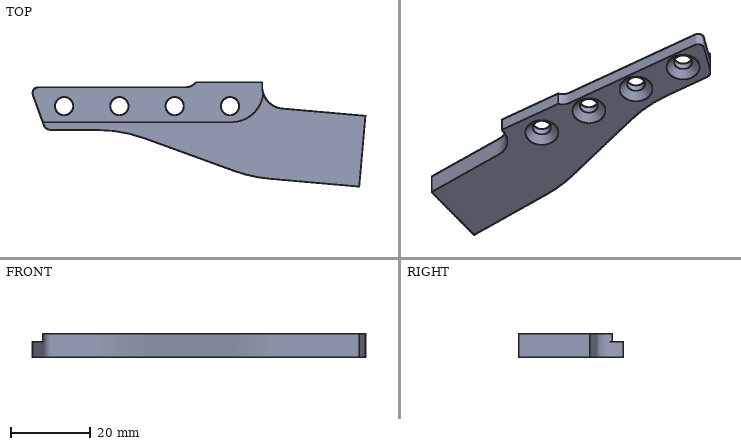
import cadquery as cq
import math

length = 84.1
width = 26.4
thickness = 6.0

nose_slant = math.radians(20)
flank_slope = math.radians(20)
blade_tilt = math.radians(5)

back_step = 1.3
step_radius = 3.4
step_end_x = 41.3
shoulder_x = 58.0
shoulder_radius = 5.5
blade_end_width = 18.0
narrow_front_y = -12.1
bend_x = 22.5
bend_radius = 35.0
nose_back_radius = 1.5
nose_front_radius = 2.0

recess_depth = 2.0
recess_front_y = -10.1
recess_radius = 8.0
recess_end_x = 58.3

hole_count = 4
hole_diameter = 4.5
countersink_diameter = 8.3
countersink_depth = 1.85
hole_pitch = 14.0
first_hole_x = 8.0
hole_y = -6.05


def make_plate():
    """Extrude the sharp-cornered outline, then round its corners."""
    nose_touch_x = nose_back_radius * (1 - math.cos(nose_slant))
    nose_touch_y = -back_step - nose_back_radius * (1 + math.sin(nose_slant))

    def nose_point(y):
        return (nose_touch_x + (nose_touch_y - y) * math.tan(nose_slant), y)

    nose_back = nose_point(-back_step)
    nose_front = nose_point(narrow_front_y)

    end_front = (length - blade_end_width * math.sin(blade_tilt), -width)
    end_back = (length, -width + blade_end_width * math.cos(blade_tilt))
    shoulder = (shoulder_x, end_back[1] + (length - shoulder_x) * math.tan(blade_tilt))

    first_bend = (bend_x, narrow_front_y)
    blade_front_at_bend = end_front[1] + (end_front[0] - bend_x) * math.tan(blade_tilt)
    flank_run = (narrow_front_y - blade_front_at_bend) / (math.tan(flank_slope) - math.tan(blade_tilt))
    second_bend = (bend_x + flank_run, narrow_front_y - flank_run * math.tan(flank_slope))

    step_angle = math.acos(1 - back_step / step_radius)
    step_start_x = step_end_x - step_radius * math.sin(step_angle)
    step_middle = (
        step_start_x + step_radius * math.sin(step_angle / 2),
        -back_step + step_radius * (1 - math.cos(step_angle / 2)),
    )

    plate = (
        cq.Workplane("XY")
        .moveTo(*nose_back)
        .lineTo(step_start_x, -back_step)
        .threePointArc(step_middle, (step_end_x, 0))
        .lineTo(shoulder_x, 0)
        .lineTo(*shoulder)
        .lineTo(*end_back)
        .lineTo(*end_front)
        .lineTo(*second_bend)
        .lineTo(*first_bend)
        .lineTo(*nose_front)
        .close()
        .extrude(thickness)
    )
    rounded_corners = [
        (nose_back, nose_back_radius),
        (nose_front, nose_front_radius),
        (shoulder, shoulder_radius),
        (first_bend, bend_radius),
        (second_bend, bend_radius),
    ]
    for corner, radius in rounded_corners:
        corner_edge = cq.selectors.NearestToPointSelector((*corner, thickness / 2))
        plate = plate.edges("|Z").edges(corner_edge).fillet(radius)
    return plate


def make_recess():
    """Cutter with a rounded inner corner beside the shoulder."""
    clearance = 4.2
    arc_start_x = recess_end_x - recess_radius
    return (
        cq.Workplane("XY", origin=(0, 0, thickness - recess_depth))
        .moveTo(-clearance, clearance)
        .lineTo(-clearance, recess_front_y)
        .lineTo(arc_start_x, recess_front_y)
        .radiusArc((recess_end_x, recess_front_y + recess_radius), -recess_radius)
        .lineTo(recess_end_x, clearance)
        .close()
        .extrude(recess_depth + clearance)
    )


def make_holes():
    """Row of through holes, each countersunk from the underside."""
    sink = cq.Solid.makeCone(countersink_diameter / 2, hole_diameter / 2, countersink_depth)
    hole = cq.Workplane("XY").circle(hole_diameter / 2).extrude(thickness).union(cq.Workplane(sink))
    centers = [(first_hole_x + i * hole_pitch, hole_y) for i in range(hole_count)]
    return (
        cq.Workplane("XY")
        .pushPoints(centers)
        .eachpoint(lambda place: hole.val().moved(place))
    )


result = make_plate().cut(make_recess()).cut(make_holes())